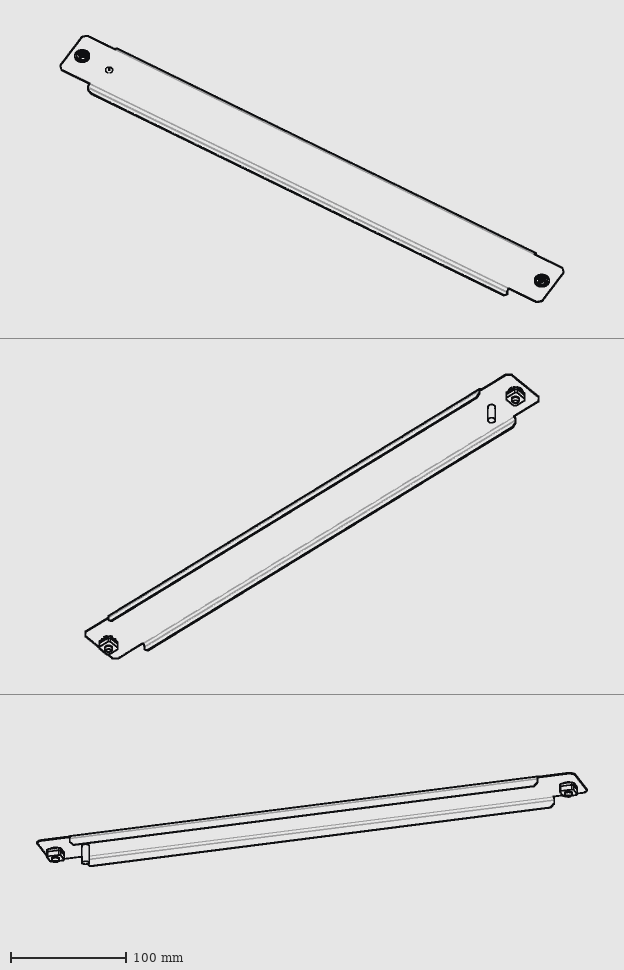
import cadquery as cq

panel_length = 490.0
panel_width = 49.0
sheet_thickness = 1.0
bend_radius = 3.0
flange_length = 426.5
flange_height = 10.0
flange_corner_cut = 3.5
panel_corner_cut = 3.5

fastener_offset = 233.5
screw_head_radius = 6.5
screw_rim_height = 1.0
screw_dome_radius = 5.0
screw_crown_radius = 3.0
screw_crown_height = 2.5
screw_shoulder_height = 1.5
cross_arm_length = 10.0
cross_arm_width = 1.5
cross_depth = 1.0
collar_radius = 5.0
collar_depth = 2.5
shank_radius = 3.5
shank_depth = 10.5
tip_radius = 2.0
tip_depth = 12.2

block_width = 12.5
block_corner_cut = 1.5
washer_bottom_depth = 5.0
nut_bottom_depth = 9.5

stud_x = -206.5
stud_radius = 3.2
stud_depth = 17.0
nib_radius = 0.5
nib_height = 1.0

fastener_places = [(-fastener_offset, 0), (fastener_offset, 0)]


def make_flange():
    """The flange on the +Y side, with its bend."""
    outer_y = panel_width / 2
    inner_y = outer_y - sheet_thickness
    bend_start_y = outer_y - bend_radius
    inner_bend_radius = bend_radius - sheet_thickness
    return (
        cq.Workplane("YZ", origin=(-flange_length / 2, 0, 0))
        .moveTo(bend_start_y, 0)
        .radiusArc((outer_y, -bend_radius), bend_radius)
        .lineTo(outer_y, -flange_height)
        .lineTo(inner_y, -flange_height)
        .lineTo(inner_y, -bend_radius)
        .radiusArc((bend_start_y, -sheet_thickness), -inner_bend_radius)
        .close()
        .extrude(flange_length)
        .edges("|Y and <Z")
        .chamfer(flange_corner_cut)
    )


def make_panel():
    sheet_width = panel_width - 2 * bend_radius
    sheet = (
        cq.Workplane("XY")
        .rect(panel_length, sheet_width)
        .extrude(-sheet_thickness)
        .edges("|Z")
        .chamfer(panel_corner_cut)
    )
    flange = make_flange()
    fastener_holes = (
        cq.Workplane("XY")
        .pushPoints(fastener_places)
        .circle(collar_radius)
        .extrude(-sheet_thickness)
    )
    nib_hole = cq.Workplane("XY").center(stud_x, 0).circle(nib_radius).extrude(-sheet_thickness)
    return (
        sheet.union(flange)
        .union(flange.mirror("XZ"))
        .cut(fastener_holes)
        .cut(nib_hole)
    )


def make_stud():
    shaft = (
        cq.Workplane("XY", origin=(stud_x, 0, -stud_depth))
        .circle(stud_radius)
        .extrude(stud_depth - sheet_thickness)
    )
    nib = (
        cq.Workplane("XY", origin=(stud_x, 0, -sheet_thickness))
        .circle(nib_radius)
        .extrude(sheet_thickness + nib_height)
    )
    return shaft.union(nib)


def make_screw(place):
    """A stepped turned body with a cross recess in its head."""
    half_profile = [
        (0, screw_crown_height),
        (screw_crown_radius, screw_crown_height),
        (screw_dome_radius, screw_shoulder_height),
        (screw_dome_radius, screw_rim_height),
        (screw_head_radius, screw_rim_height),
        (screw_head_radius, 0),
        (collar_radius, 0),
        (collar_radius, -collar_depth),
        (shank_radius, -collar_depth),
        (shank_radius, -shank_depth),
        (tip_radius, -tip_depth),
        (0, -tip_depth),
    ]
    body = cq.Workplane("XZ").polyline(half_profile).close().revolve(360, (0, 0, 0), (0, 1, 0))
    top = cq.Workplane("XY", origin=(0, 0, screw_crown_height))
    cross = (
        top.rect(cross_arm_length, cross_arm_width)
        .extrude(-cross_depth)
        .union(top.rect(cross_arm_width, cross_arm_length).extrude(-cross_depth))
    )
    return body.cut(cross).translate((*place, 0))


def make_square_block(place, top_depth, bottom_depth):
    """A square block with cut corners and a hole that fits the screw shank."""
    return (
        cq.Workplane("XY", origin=(*place, -bottom_depth))
        .rect(block_width, block_width)
        .extrude(bottom_depth - top_depth)
        .edges("|Z")
        .chamfer(block_corner_cut)
        .faces(">Z")
        .workplane()
        .hole(2 * shank_radius)
    )


def make_washer(place):
    return make_square_block(place, collar_depth, washer_bottom_depth)


def make_nut(place):
    return make_square_block(place, washer_bottom_depth, nut_bottom_depth)


panel = make_panel()
stud = make_stud()
screws = [make_screw(place).val() for place in fastener_places]
washers = [make_washer(place).val() for place in fastener_places]
nuts = [make_nut(place).val() for place in fastener_places]

result = cq.Compound.makeCompound([panel.val(), stud.val(), *screws, *washers, *nuts])